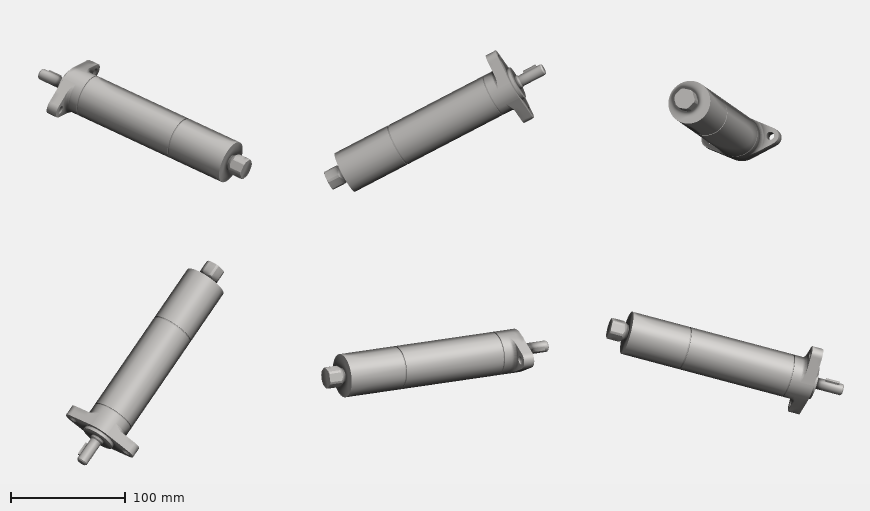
import cadquery as cq
import math

length = 213.8
collar_start = 22.9
collar_chamfer_end = 24.2
pilot_start = 26.0
flange_start = 28.9
flange_back = 38.7
fillet_end = 41.5
front_groove_start = 49.5
front_groove_width = 1.0
rear_groove_start = 144.3
rear_groove_width = 1.3
body_end = 197.8
nut_cone_start = 198.6
nut_cone_end = 202.5

shaft_dia = 10.0
collar_dia = 12.5
pilot_dia = 30.0
body_dia = 38.0
front_groove_dia = 36.0
rear_groove_dia = 36.1
neck_dia = 14.0
nut_dia = 18.8

overall_width = 70.0
hole_spacing = 55.0
hole_dia = 7.0

key_start = 4.7
key_length = 12.5
key_width = 2.8
key_top = 6.8
key_root = 2.1

shaft_chamfer = 1.0
shaft_chamfer_depth = 0.9
nut_chamfer = 0.5
nut_flats = 17.3
nut_corner_angle = 14.6

body_radius = body_dia / 2
hole_offset = hole_spacing / 2
lug_radius = overall_width / 2 - hole_offset

centring_shift = -length / 2


def cylinder(start, end, diameter):
    """Solid cylinder on the motor axis between two stations."""
    plane = cq.Workplane("YZ").workplane(offset=start)
    return plane.circle(diameter / 2).extrude(end - start)


def revolve_profile(points):
    """Revolve an (axial, radial) outline about the motor axis."""
    return cq.Workplane("XY").polyline(points).close().revolve(360, (0, 0, 0), (1, 0, 0))


def make_shaft():
    radius = shaft_dia / 2
    return revolve_profile([
        (0, 0),
        (0, radius - shaft_chamfer_depth),
        (shaft_chamfer, radius),
        (collar_start, radius),
        (collar_chamfer_end, collar_dia / 2),
        (pilot_start, collar_dia / 2),
        (pilot_start, 0),
    ])


def make_key():
    """Square-ended key on the +Y side of the shaft."""
    middle = key_start + key_length / 2
    return (
        cq.Workplane("XZ", origin=(middle, key_root, 0))
        .rect(key_length, key_width)
        .extrude(key_root - key_top)
    )


def make_flange():
    """Two lugs joined through the barrel, with a fillet to it trimmed to the lug sides."""
    slope = math.asin((body_radius - lug_radius) / hole_offset)
    sine = math.sin(slope)
    cosine = math.cos(slope)
    hub_y, hub_z = body_radius * sine, body_radius * cosine
    lug_y, lug_z = hole_offset + lug_radius * sine, lug_radius * cosine
    lug_tip = hole_offset + lug_radius
    outline = (
        cq.Workplane("YZ").workplane(offset=flange_start)
        .moveTo(-hub_y, hub_z)
        .lineTo(hub_y, hub_z)
        .lineTo(lug_y, lug_z)
        .threePointArc((lug_tip, 0), (lug_y, -lug_z))
        .lineTo(hub_y, -hub_z)
        .lineTo(-hub_y, -hub_z)
        .lineTo(-lug_y, -lug_z)
        .threePointArc((-lug_tip, 0), (-lug_y, lug_z))
        .close()
        .extrude(fillet_end - flange_start)
    )
    fillet = fillet_end - flange_back
    fillet_outer = body_radius + fillet
    diagonal = fillet * math.sqrt(0.5)
    envelope = (
        cq.Workplane("XY")
        .moveTo(flange_start, 0)
        .lineTo(flange_start, overall_width)
        .lineTo(flange_back, overall_width)
        .lineTo(flange_back, fillet_outer)
        .threePointArc((fillet_end - diagonal, fillet_outer - diagonal), (fillet_end, body_radius))
        .lineTo(fillet_end, 0)
        .close()
        .revolve(360, (0, 0, 0), (1, 0, 0))
    )
    holes = (
        cq.Workplane("YZ").workplane(offset=flange_start)
        .pushPoints([(-hole_offset, 0), (hole_offset, 0)])
        .circle(hole_dia / 2)
        .extrude(fillet_end - flange_start)
    )
    return outline.intersect(envelope).cut(holes)


def make_body():
    """Motor barrel with two narrow joint grooves."""
    body = cylinder(flange_start, body_end, body_dia)
    for start, width, floor_dia in (
        (front_groove_start, front_groove_width, front_groove_dia),
        (rear_groove_start, rear_groove_width, rear_groove_dia),
    ):
        end = start + width
        body = body.cut(cylinder(start, end, body_dia).cut(cylinder(start, end, floor_dia)))
    return body


def make_nut():
    """Cable-gland nut: a turned, conical blank with six flats behind a round neck."""
    radius = nut_dia / 2
    blank = revolve_profile([
        (body_end, 0),
        (body_end, neck_dia / 2),
        (nut_cone_start, neck_dia / 2),
        (nut_cone_end, radius),
        (length - nut_chamfer, radius),
        (length, radius - nut_chamfer),
        (length, 0),
    ])
    hexagon = (
        cq.Workplane("YZ").workplane(offset=body_end)
        .polygon(6, nut_flats / math.cos(math.pi / 6))
        .extrude(length - body_end)
        .rotate((0, 0, 0), (1, 0, 0), -nut_corner_angle)
    )
    return blank.intersect(hexagon)


result = (
    make_body()
    .union(make_flange())
    .union(cylinder(pilot_start, flange_start, pilot_dia))
    .union(make_shaft())
    .union(make_key())
    .union(make_nut())
    .translate((centring_shift, 0, 0))
)